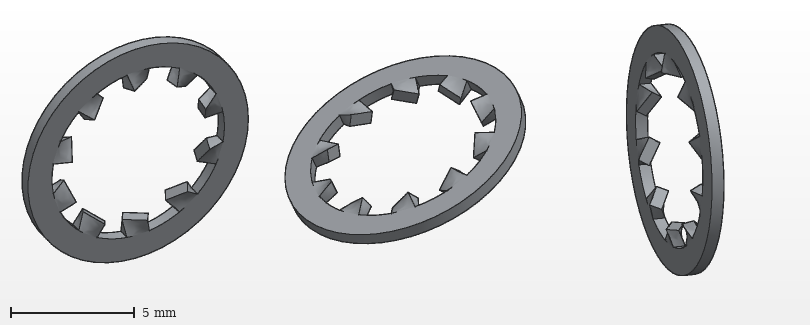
import cadquery as cq

OUTER_RADIUS = 5.1
INNER_RADIUS = 3.99
THICKNESS = 0.52

TOOTH_COUNT = 10
TOOTH_WIDTH = 1.04
TOOTH_TIP_RADIUS = 3.24
TOOTH_TWIST = -32.5
ROOT_GAP = 0.01
ROOT_LENGTH = 0.15
TWIST_START_RADIUS = INNER_RADIUS - ROOT_GAP


def make_ring():
    side_face = cq.Workplane("YZ", origin=(-THICKNESS / 2, 0, 0))
    return side_face.circle(OUTER_RADIUS).circle(INNER_RADIUS).extrude(THICKNESS)


def make_tooth():
    """Tooth at the +Z side of the ring, twisting from the root down to the tip."""
    root_plane = cq.Plane(origin=(0, 0, TWIST_START_RADIUS), xDir=(1, 0, 0), normal=(0, 0, -1))
    blade = (
        cq.Workplane(root_plane)
        .rect(THICKNESS, TOOTH_WIDTH)
        .workplane(offset=TWIST_START_RADIUS - TOOTH_TIP_RADIUS)
        .transformed(rotate=(0, 0, TOOTH_TWIST))
        .rect(THICKNESS, TOOTH_WIDTH)
        .loft(ruled=True)
    )
    root = cq.Workplane(root_plane).rect(THICKNESS, TOOTH_WIDTH).extrude(-ROOT_LENGTH)
    return blade.union(root)


washer = make_ring()
tooth = make_tooth()
for index in range(TOOTH_COUNT):
    angle = index * 360 / TOOTH_COUNT
    washer = washer.union(tooth.rotate((0, 0, 0), (1, 0, 0), angle))

result = washer.clean()